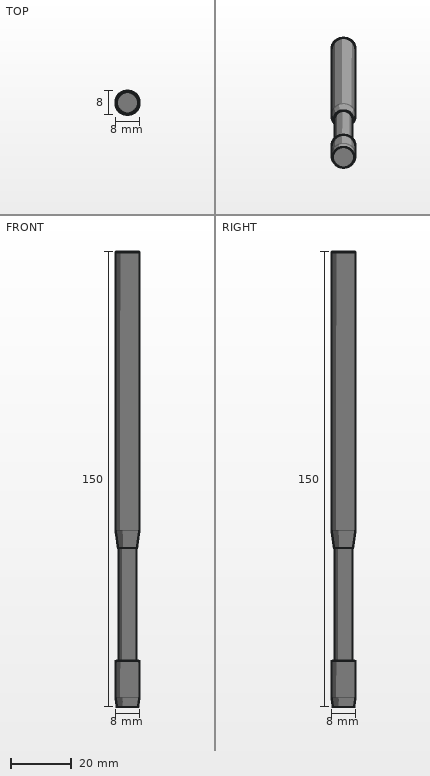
import cadquery as cq

total_length = 150.0
outer_diameter = 8.0

tip_diameter = 7.0
tip_taper_length = 3.2
head_shoulder_height = 15.2
head_length = 15.5

neck_diameter = 6.0
shank_taper_start = 52.4
shank_taper_end = 58.2
taper_small_diameter = 6.3
shank_end_chamfer = 0.5

outer_radius = outer_diameter / 2
neck_radius = neck_diameter / 2


def revolve_profile(points):
    """Turn a closed (radius, height) outline around the Z axis."""
    half_section = [(-radius, height) for radius, height in points]
    return cq.Workplane("YZ").polyline(half_section).close().revolve(360, (0, 0), (0, 1))


def make_cutting_head():
    """Tapered tip, cylindrical land and a sloped shoulder up to the neck."""
    return revolve_profile([
        (0, 0),
        (tip_diameter / 2, 0),
        (outer_radius, tip_taper_length),
        (outer_radius, head_shoulder_height),
        (neck_radius, head_length),
        (0, head_length),
    ])


def make_shank():
    """Slim neck, short step and taper, then the plain shank with a chamfered end."""
    return revolve_profile([
        (0, head_length),
        (neck_radius, head_length),
        (neck_radius, shank_taper_start),
        (taper_small_diameter / 2, shank_taper_start),
        (outer_radius, shank_taper_end),
        (outer_radius, total_length - shank_end_chamfer),
        (outer_radius - shank_end_chamfer, total_length),
        (0, total_length),
    ])


cutting_head = make_cutting_head()
shank = make_shank()

result = cq.Compound.makeCompound([cutting_head.val(), shank.val()])